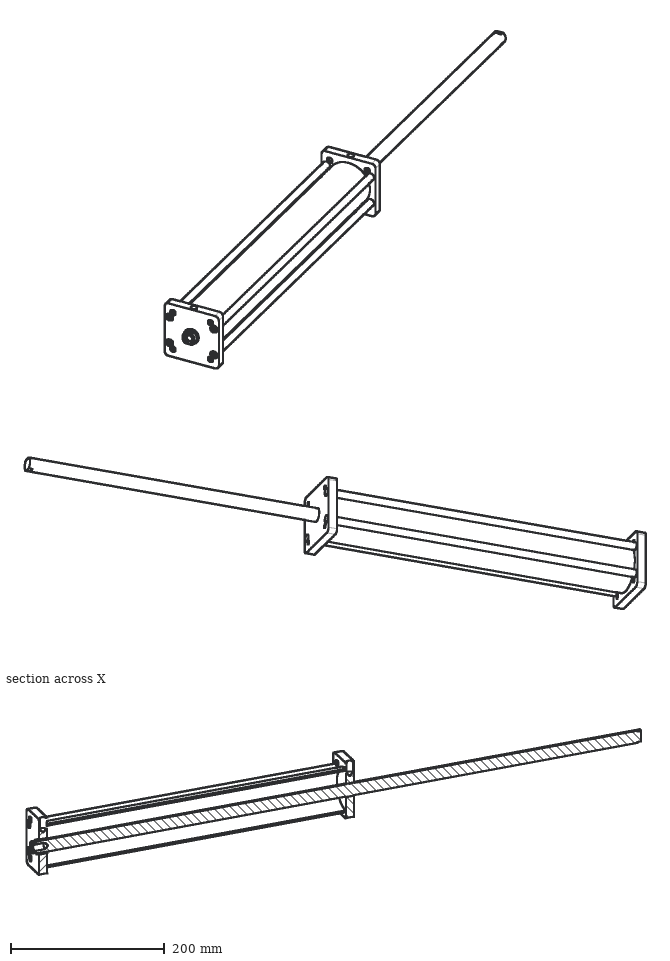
import cadquery as cq

total_length = 865.0
rod_front_overhang = 9.0
body_length = 448.0
plate_thickness = 12.0

plate_side = 80.0
plate_corner = 5.6
mount_hole_diameter = 4.9
mount_countersink_diameter = 8.0
mount_hole_offset = 28.0
port_diameter = 8.4
port_depth = 16.0

tube_diameter = 63.0
tube_bore = 56.0
tie_rod_diameter = 10.0
tie_rod_x = 32.4
tie_rod_z = 19.5
tie_thread_diameter = 4.0
tie_countersink_diameter = 6.7
tie_thread_depth = 12.0
rod_diameter = 18.0
flat_width = 16.0
flat_length = 5.0
rod_thread_diameter = 8.4
rod_countersink_diameter = 13.0
rod_thread_depth = 17.0

bushing_diameter = 21.0
bushing_overhang = 3.0

rod_front = -rod_front_overhang
tube_start = plate_thickness
tube_end = body_length - plate_thickness
tie_rod_places = [(x, z) for x in (-tie_rod_x, tie_rod_x) for z in (-tie_rod_z, tie_rod_z)]


def cylinder_along_y(diameter, start, length, x=0.0, z=0.0):
    """Solid cylinder running from Y = start toward +Y."""
    return cq.Workplane("XZ", origin=(x, start, z)).circle(diameter / 2).extrude(-length)


def cone_along_y(start_diameter, end_diameter, start, x=0.0, z=0.0):
    """90 degree cone or frustum narrowing from Y = start toward +Y."""
    place = cq.Vector(x, start, z)
    height = (start_diameter - end_diameter) / 2
    axis = cq.Vector(0, 1, 0)
    return cq.Workplane(cq.Solid.makeCone(start_diameter / 2, end_diameter / 2, height, place, axis))


def make_port():
    """Blind port drilled down from the top edge of a plate, with a 90 degree drill point."""
    floor = plate_side / 2 - port_depth
    radius = port_diameter / 2
    profile = (
        cq.Workplane("XZ")
        .moveTo(0, floor - radius)
        .lineTo(radius, floor)
        .lineTo(radius, plate_side / 2)
        .lineTo(0, plate_side / 2)
        .close()
    )
    return profile.revolve(360, (0, 0, 0), (0, 1, 0))


def make_plate(start, bore):
    """Square end plate with a central bore, tie rod holes, countersunk mounting holes and a top port."""
    plate = cq.Workplane().box(plate_side, plate_thickness, plate_side).edges("|Y").fillet(plate_corner)
    plate = plate.translate((0, start + plate_thickness / 2, 0))
    plate = plate.cut(cylinder_along_y(bore, start, plate_thickness))
    for x in (-mount_hole_offset, mount_hole_offset):
        for z in (-mount_hole_offset, mount_hole_offset):
            plate = plate.cut(cylinder_along_y(mount_hole_diameter, start, plate_thickness, x, z))
            plate = plate.cut(cone_along_y(mount_countersink_diameter, mount_hole_diameter, start, x, z))
    for x, z in tie_rod_places:
        plate = plate.cut(cylinder_along_y(tie_rod_diameter, start, plate_thickness, x, z))
    return plate.cut(make_port().translate((0, start + plate_thickness / 2, 0)))


def make_tube():
    """Plain cylinder tube between the two plates."""
    length = tube_end - tube_start
    return cylinder_along_y(tube_diameter, tube_start, length).cut(
        cylinder_along_y(tube_bore, tube_start, length)
    )


def make_tie_rod(x, z):
    """Tie rod flush with the outer faces of both plates, with a countersunk hole in its front end."""
    rod = cylinder_along_y(tie_rod_diameter, 0, body_length, x, z)
    rod = rod.cut(cylinder_along_y(tie_thread_diameter, 0, tie_thread_depth, x, z))
    return rod.cut(cone_along_y(tie_countersink_diameter, tie_thread_diameter, 0, x, z))


def make_bushing():
    """Front guide bushing, standing slightly proud of the front plate."""
    length = plate_thickness + bushing_overhang
    sleeve = cylinder_along_y(bushing_diameter, -bushing_overhang, length)
    return sleeve.cut(cylinder_along_y(rod_diameter, -bushing_overhang, length))


def make_piston_rod():
    """Through rod with two wrench flats at each end and a countersunk hole in its front end."""
    rod = cylinder_along_y(rod_diameter, rod_front, total_length)
    rod_slice = cq.Workplane().box(rod_diameter, flat_length, rod_diameter)
    waste = rod_slice.cut(cq.Workplane().box(rod_diameter, flat_length, flat_width))
    for y in (rod_front + flat_length / 2, rod_front + total_length - flat_length / 2):
        rod = rod.cut(waste.translate((0, y, 0)))
    rod = rod.cut(cylinder_along_y(rod_thread_diameter, rod_front, rod_thread_depth))
    rod = rod.cut(cone_along_y(rod_thread_diameter, 0, rod_front + rod_thread_depth))
    return rod.cut(cone_along_y(rod_countersink_diameter, rod_thread_diameter, rod_front))


front_plate = make_plate(0, bushing_diameter)
rear_plate = make_plate(tube_end, rod_diameter)
tube = make_tube()
tie_rods = [make_tie_rod(x, z) for x, z in tie_rod_places]
piston_rod = make_piston_rod()
bushing = make_bushing()

result = cq.Compound.makeCompound(
    [
        front_plate.val(),
        rear_plate.val(),
        tube.val(),
        *[tie_rod.val() for tie_rod in tie_rods],
        piston_rod.val(),
        bushing.val(),
    ]
)